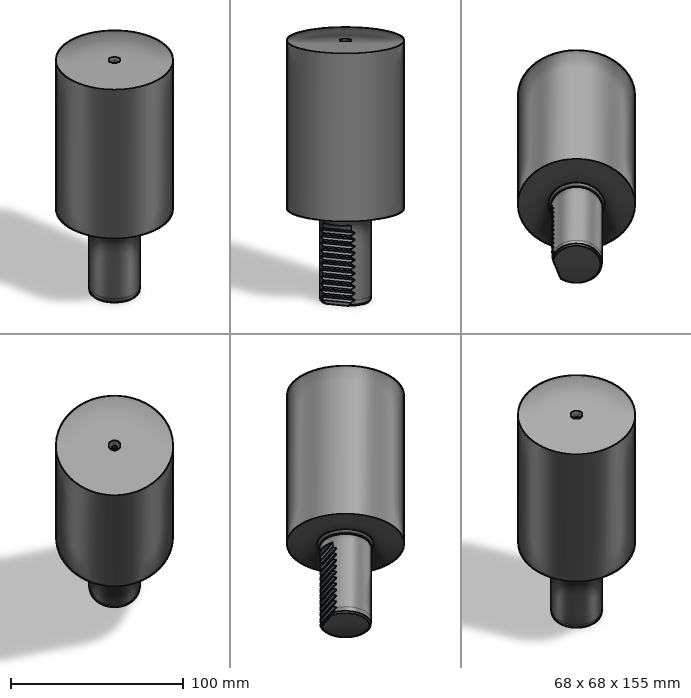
import cadquery as cq
import math

total_length = 155.0
head_length = 100.0
shank_length = total_length - head_length
head_radius = 34.02

shank_radius = 15.0
neck_radius = 14.4
neck_length = 1.9
shank_start = 2.5
taper_start = 51.3
taper_end_radius = 14.7
end_chamfer = 1.0

flat_offset = 12.1
flat_start = 7.0
tooth_depth = 1.47
tooth_pitch = 4.0
tooth_count = 11
first_root = 11.5

countersink_radius = 3.4
countersink_angle = 60.0
drill_radius = 1.63
drill_length = 3.1
drill_tip_angle = 120.0

ring_radius = 15.0
ring_section_radius = 1.2
ring_drop = 0.3


def cone_height(radius_change, included_angle):
    return radius_change / math.tan(math.radians(included_angle / 2))


def make_ring():
    """Round-section ring seated in the corner between head and neck."""
    return (
        cq.Workplane("XZ")
        .center(ring_radius, -ring_drop)
        .circle(ring_section_radius)
        .revolve(360, (-ring_radius, 0), (-ring_radius, 1))
    )


def make_blank():
    """Head and stepped shank, turned about the Z axis."""
    return (
        cq.Workplane("XZ")
        .moveTo(0, head_length)
        .lineTo(head_radius, head_length)
        .lineTo(head_radius, 0)
        .lineTo(neck_radius, 0)
        .lineTo(neck_radius, -neck_length)
        .lineTo(shank_radius, -shank_start)
        .lineTo(shank_radius, -taper_start)
        .lineTo(taper_end_radius, -shank_length + end_chamfer)
        .lineTo(taper_end_radius - end_chamfer, -shank_length)
        .lineTo(0, -shank_length)
        .close()
        .revolve(360, (0, 0), (0, 1))
    )


def make_center_hole():
    """Countersink, drilled hole and drill tip, sunk from the top face."""
    countersink_floor = head_length - cone_height(countersink_radius - drill_radius, countersink_angle)
    drill_floor = countersink_floor - drill_length
    tip = drill_floor - cone_height(drill_radius, drill_tip_angle)
    return (
        cq.Workplane("XZ")
        .moveTo(0, head_length)
        .lineTo(countersink_radius, head_length)
        .lineTo(drill_radius, countersink_floor)
        .lineTo(drill_radius, drill_floor)
        .lineTo(0, tip)
        .close()
        .revolve(360, (0, 0), (0, 1))
    )


def make_flat_cut():
    """Material removed outside the flat, from its shoulder to the shank end."""
    return cq.Workplane("XY").box(
        2 * shank_radius, shank_radius, shank_length - flat_start, centered=(True, False, False)
    ).translate((0, flat_offset, -shank_length))


def make_tooth_cut(root_z):
    """One 90-degree V groove across the flat, with its root at root_z."""
    return (
        cq.Workplane("YZ")
        .moveTo(flat_offset, root_z + tooth_depth)
        .lineTo(flat_offset - tooth_depth, root_z)
        .lineTo(flat_offset, root_z - tooth_depth)
        .close()
        .extrude(shank_radius, both=True)
    )


ring = make_ring()

holder = make_blank().cut(make_center_hole()).cut(make_flat_cut())
for index in range(tooth_count):
    holder = holder.cut(make_tooth_cut(-first_root - index * tooth_pitch))

holder = holder.cut(ring)

result = cq.Compound.makeCompound([holder.val(), ring.val()])